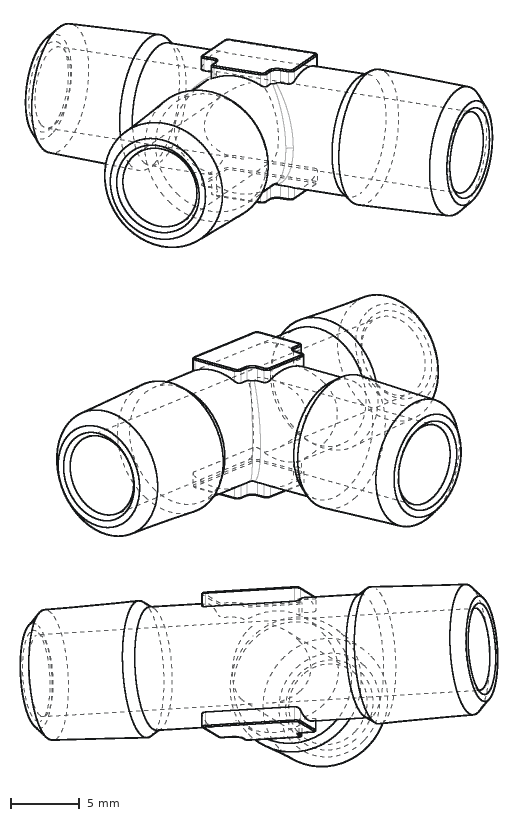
import cadquery as cq

run_arm_length = 17.0
branch_arm_length = 16.95
tube_radius = 9.0 / 2
bore_radius = 6.0 / 2
bore_mouth_radius = 3.33
collar_radius = 5.0
collar_end_radius = 4.75
tip_radius = 3.85
step_start = 8.05
collar_start = 8.85
end_chamfer_length = 0.95
crotch_fillet = 0.4

pad_height = collar_radius
pad_half_width = 3.75
pad_back = 2.25
pad_shoulder = -2.18
pad_neck_half_width = 2.2
pad_front = -3.67
pad_corner_radius = 0.35
pad_notch_radius = 0.55
pad_edge_chamfer = 0.1

arms = (
    (0, run_arm_length),
    (180, run_arm_length),
    (270, branch_arm_length),
)


def revolve_arm(profile, angle):
    """Revolve (distance, radius) points about +X, then turn about Z."""
    body = cq.Workplane("XY").polyline(profile).close().revolve(360, (0, 0, 0), (1, 0, 0))
    return body.rotate((0, 0, 0), (0, 0, 1), angle)


def make_tubes():
    run = cq.Workplane("YZ").circle(tube_radius).extrude(step_start, both=True)
    branch = cq.Workplane("XZ").circle(tube_radius).extrude(step_start)
    return run.union(branch)


def make_pads():
    outline = [
        (-pad_half_width, pad_back),
        (pad_half_width, pad_back),
        (pad_half_width, pad_shoulder),
        (pad_neck_half_width, pad_shoulder),
        (pad_neck_half_width, pad_front),
        (-pad_neck_half_width, pad_front),
        (-pad_neck_half_width, pad_shoulder),
        (-pad_half_width, pad_shoulder),
    ]
    block = cq.Workplane("XY").polyline(outline).close().extrude(pad_height, both=True)
    right_notch = cq.selectors.NearestToPointSelector((pad_neck_half_width, pad_shoulder, 0))
    left_notch = cq.selectors.NearestToPointSelector((-pad_neck_half_width, pad_shoulder, 0))
    outer_corners = cq.selectors.ParallelDirSelector(cq.Vector(0, 0, 1)) - right_notch - left_notch
    block = block.edges(outer_corners).fillet(pad_corner_radius)
    block = block.edges(right_notch + left_notch).fillet(pad_notch_radius)
    return block.faces("|Z").chamfer(pad_edge_chamfer)


def fillet_crotches(body):
    """Round the two seams where the branch meets the run."""
    return body.edges("%ELLIPSE").fillet(crotch_fillet)


def collar_profile(length):
    return [
        (step_start, 0),
        (step_start, tube_radius),
        (collar_start, collar_radius),
        (length - end_chamfer_length, collar_end_radius),
        (length, tip_radius),
        (length, 0),
    ]


def bore_profile(length):
    mouth_depth = bore_mouth_radius - bore_radius
    return [
        (0, 0),
        (0, bore_radius),
        (length - mouth_depth, bore_radius),
        (length, bore_mouth_radius),
        (length, 0),
    ]


result = fillet_crotches(make_tubes().union(make_pads()))
for angle, length in arms:
    result = result.union(revolve_arm(collar_profile(length), angle))
for angle, length in arms:
    result = result.cut(revolve_arm(bore_profile(length), angle))